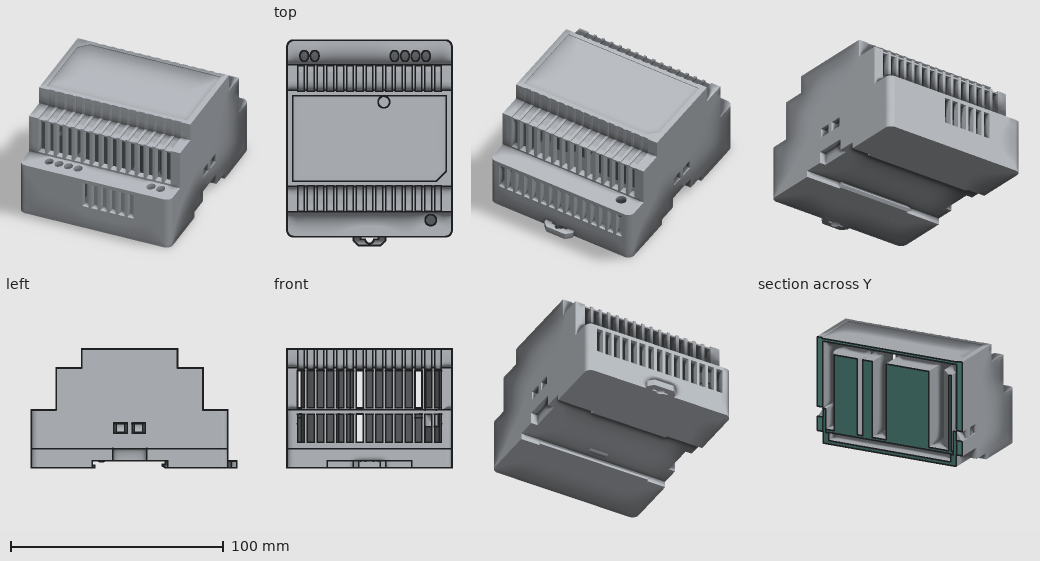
import cadquery as cq


overall_length = 96.55
width = 77.5
length = 92.4
height = 55.8
corner_radius = 3.3
wall = 3.3

low_half = length / 2
mid_half = low_half - 11.7
top_half = low_half - 23.7
low_top = 27.1
mid_top = 46.9
split_z = 9.0

inner_half_width = width / 2 - wall
low_roof = 1.9
top_roof = 1.9

slot_count = 15
slot_row_width = 67.6
slot_width = 3.2
slot_pitch = (slot_row_width - slot_width) / (slot_count - 1)
face_groove = 0.4
ledge_groove = 0.7
mid_vent_bottom = 28.1
mid_vent_top = 45.5
low_vent_bottom = 12.1
low_vent_top = low_top - low_roof
slot_xs = [(i - (slot_count - 1) / 2) * slot_pitch for i in range(slot_count)]
first_back_slot = 3
last_back_slot = 8
back_low_slots = slot_xs[first_back_slot:last_back_slot + 1]

label_side_margin = 2.8
label_end_margin = 2.5
label_depth = 0.4
label_corner = 4.5
led_radius = 2.7
led_x = 6.8
led_y = 17.1

adjuster_x = 28.8
adjuster_y = -38.3
adjuster_radius = 2.6
tube_radius = 3.5
tube_bottom = 19.3

screw_pitch = 4.9
screw_y = 38.7
screw_width = 4.1
screw_length = 5.1
terminals = [(-28.2, 2), (19.1, 4)]
terminal_depth = 6.8
terminal_margin = 0.6
terminal_top = 23.6

latch_y = 4.2
window_width = 6.2
window_bottom = 16.3
window_top = 21.0
hook_width = 4.1
hook_bottom = 16.6
hook_top = 20.8
hook_reach = 2.3
tab_thickness = 1.7
relief_width = 15.9

rail_height = 3.2
rail_back = 17.5
rail_front = -17.9
lip_reach = 1.2
lip_height = 1.2
lip_width = 57.9
bump_y = 13.1
bump_width = 2.9
bump_height = 0.4
bump_length = 9.7
clip_width = 39.5
clip_inner_y = -16.8
nose_reach = 1.5
nose_bottom = 1.1
nose_top = 1.5
tongue_width = 15.3
tongue_reach = overall_length - length
tongue_chamfer = 2.5
pry_width = 8.3
pry_depth = 1.1
pry_radius = 2.0

base_floor = 1.9
board_ledge = 1.4
board_thickness = 1.5
board_half_width = inner_half_width - tab_thickness
board_half_length = low_half - wall

capacitor_x = -23.3
capacitor_radius = 8.9
small_capacitor_x = -11.6
small_capacitor_y = 9.7
small_capacitor_radius = 4.1
coil_left = capacitor_x + capacitor_radius
coil_right = -9.1
coil_depth = 14.5
transformer_left = -1.9
transformer_right = 20.8
transformer_depth = 25.1
heatsink_left = 26.3
heatsink_right = 32.7
heatsink_depth = 15.4
flange_thickness = 1.9
parts_top = 48.3


def block(x0, x1, y0, y1, z0, z1):
    """Box between two opposite corners, given in either order."""
    size = (abs(x1 - x0), abs(y1 - y0), abs(z1 - z0))
    low = (min(x0, x1), min(y0, y1), min(z0, z1))
    return cq.Workplane().box(*size, centered=False).translate(low)


def upright(points, z0, z1):
    """Prism of an outline in the XY plane."""
    return cq.Workplane().workplane(offset=z0).polyline(points).close().extrude(z1 - z0)


def along_x(points, x_length):
    """Prism of an outline in the YZ plane, centred on X = 0."""
    return cq.Workplane("YZ").polyline(points).close().extrude(x_length / 2, both=True)


def cylinder(x, y, radius, z0, z1):
    return cq.Workplane().workplane(offset=z0).center(x, y).circle(radius).extrude(z1 - z0)


def rounded_plan(z0, z1):
    """Full plan of the housing with rounded corners."""
    return block(-width / 2, width / 2, -low_half, low_half, z0, z1).edges("|Z").fillet(corner_radius)


def stepped(steps, x_length):
    """Stepped prism, symmetric in Y, from the half length and top of each step."""
    right_side = []
    z = split_z
    for half, top in steps:
        right_side += [(half, z), (half, top)]
        z = top
    left_side = [(-y, level) for y, level in reversed(right_side)]
    return along_x(right_side + left_side, x_length)


def terminal_screws(centre, poles):
    return [(centre + (i - (poles - 1) / 2) * screw_pitch, screw_y) for i in range(poles)]


def vent_cutters():
    """Grooves over the steps, with vents through the walls behind them."""
    cutters = []
    for x in slot_xs:
        x0 = x - slot_width / 2
        x1 = x + slot_width / 2
        for side in (-1, 1):
            upper = side * (top_half - face_groove)
            middle = side * (mid_half - face_groove)
            ledge = mid_top - ledge_groove
            cutters.append(block(x0, x1, upper, side * mid_half, ledge, height))
            cutters.append(block(x0, x1, middle, side * mid_half, mid_vent_bottom, mid_top))
            cutters.append(
                block(x0, x1, side * (mid_half - wall), side * mid_half, mid_vent_bottom, mid_vent_top)
            )
            if side < 0 or x in back_low_slots:
                cutters.append(
                    block(x0, x1, side * (low_half - wall), side * low_half, low_vent_bottom, low_vent_top)
                )
    return cutters


def label_recess():
    x = width / 2 - label_side_margin
    y = top_half - label_end_margin
    outline = [(-x, -y), (x - label_corner, -y), (x, -y + label_corner), (x, y), (-x, y)]
    return upright(outline, height - label_depth, height)


def screw_hole(x, y):
    """Oval hole through the low roof."""
    plane = cq.Workplane().workplane(offset=low_top - low_roof).center(x, y)
    return plane.ellipse(screw_width / 2, screw_length / 2).extrude(low_roof)


def make_cover():
    outside = stepped([(low_half, low_top), (mid_half, mid_top), (top_half, height)], width)
    inside = stepped(
        [
            (low_half - wall, low_top - low_roof),
            (mid_half - wall, mid_vent_top),
            (top_half - wall, height - top_roof),
        ],
        2 * inner_half_width,
    )
    cover = outside.intersect(rounded_plan(split_z, height)).cut(inside)
    cover = cover.union(cylinder(adjuster_x, adjuster_y, tube_radius, tube_bottom, low_top))
    cover = cover.cut(cylinder(adjuster_x, adjuster_y, adjuster_radius, tube_bottom, low_top))
    cover = cover.cut(label_recess())
    cover = cover.cut(cylinder(led_x, led_y, led_radius, height - top_roof, height))
    for cutter in vent_cutters():
        cover = cover.cut(cutter)
    for centre, poles in terminals:
        for x, y in terminal_screws(centre, poles):
            cover = cover.cut(screw_hole(x, y))
    for side in (-1, 1):
        for y in (-latch_y, latch_y):
            y0 = y - window_width / 2
            y1 = y + window_width / 2
            window = block(side * inner_half_width, side * width / 2, y0, y1, window_bottom, window_top)
            cover = cover.cut(window)
    return cover


def make_latch():
    """Upright tab with two ramped hooks on the left side."""
    outer = -inner_half_width
    half = relief_width / 2
    latch = block(outer, outer + tab_thickness, -half, half, split_z, hook_top)
    ramp = [(outer, hook_bottom), (outer - hook_reach, hook_bottom), (outer, hook_top)]
    for y in (-latch_y, latch_y):
        hook = cq.Workplane("XZ", origin=(0, y, 0)).polyline(ramp).close().extrude(hook_width / 2, both=True)
        latch = latch.union(hook)
    return latch


def clip_body_space():
    """Room that the flat body of the clip takes up in the base."""
    return block(-clip_width / 2, clip_width / 2, -low_half, rail_front, 0, rail_height)


def rail_bump():
    """Shallow round rib on the roof of the rail channel."""
    outline = (
        cq.Workplane("YZ")
        .moveTo(bump_y - bump_width / 2, rail_height)
        .threePointArc((bump_y, rail_height - bump_height), (bump_y + bump_width / 2, rail_height))
        .close()
    )
    return outline.extrude(bump_length / 2, both=True)


def make_base():
    base = rounded_plan(0, split_z)
    cavity_x = board_half_width - board_ledge
    cavity_y = board_half_length - board_ledge
    base = base.cut(block(-cavity_x, cavity_x, -cavity_y, cavity_y, rail_height + base_floor, split_z))
    base = base.cut(block(-width / 2, width / 2, rail_front, rail_back, 0, rail_height))
    base = base.cut(clip_body_space())
    base = base.union(block(-lip_width / 2, lip_width / 2, rail_back - lip_reach, rail_back, 0, lip_height))
    base = base.union(rail_bump())
    latch = make_latch()
    relief = block(-width / 2, -inner_half_width, -relief_width / 2, relief_width / 2, rail_height, split_z)
    base = base.cut(relief).cut(relief.mirror("YZ"))
    return base.union(latch).union(latch.mirror("YZ"))


def make_clip():
    body_profile = [
        (-low_half, 0),
        (clip_inner_y, 0),
        (clip_inner_y + nose_reach, nose_bottom),
        (clip_inner_y + nose_reach, nose_top),
        (clip_inner_y, nose_top),
        (clip_inner_y, rail_height),
        (-low_half, rail_height),
    ]
    clip = along_x(body_profile, clip_width)
    x = tongue_width / 2
    end_y = -low_half - tongue_reach
    tongue_outline = [
        (-x, -low_half),
        (-x, end_y + tongue_chamfer),
        (-x + tongue_chamfer, end_y),
        (x - tongue_chamfer, end_y),
        (x, end_y + tongue_chamfer),
        (x, -low_half),
    ]
    clip = clip.union(upright(tongue_outline, 0, rail_height))
    notch_y = -low_half - pry_depth
    clip = clip.cut(block(-pry_width / 2, pry_width / 2, notch_y, -low_half, 0, rail_height))
    return clip.cut(cylinder(0, notch_y, pry_radius, 0, rail_height))


def make_led():
    return cylinder(led_x, led_y, led_radius, height - top_roof, height - label_depth)


def make_heatsink():
    """Upright block with a slanted front left side and a flange at its back right."""
    half = heatsink_depth / 2
    slant_end = -half + heatsink_right - heatsink_left
    outline = [
        (heatsink_left, slant_end),
        (heatsink_right, -half),
        (heatsink_right, half - flange_thickness),
        (board_half_width, half - flange_thickness),
        (board_half_width, half),
        (heatsink_left, half),
    ]
    return upright(outline, split_z, parts_top)


def make_circuit():
    z = split_z + board_thickness
    board = block(-board_half_width, board_half_width, -board_half_length, board_half_length, split_z, z)
    board = board.union(cylinder(capacitor_x, 0, capacitor_radius, split_z, parts_top))
    board = board.union(
        cylinder(small_capacitor_x, small_capacitor_y, small_capacitor_radius, split_z, parts_top)
    )
    boxes = [
        (coil_left, coil_right, coil_depth),
        (transformer_left, transformer_right, transformer_depth),
    ]
    for x0, x1, depth in boxes:
        board = board.union(block(x0, x1, -depth / 2, depth / 2, split_z, parts_top))
    board = board.union(make_heatsink())
    for centre, poles in terminals:
        half = poles * screw_pitch / 2 + terminal_margin
        y0 = screw_y - terminal_depth / 2
        board = board.union(
            block(centre - half, centre + half, y0, y0 + terminal_depth, split_z, terminal_top)
        )
    return board


cover = make_cover()
base = make_base()
clip = make_clip()
led = make_led()
circuit = make_circuit()

bodies = [cover, base, clip, led, circuit]

result = cq.Compound.makeCompound([body.solids().val() for body in bodies])